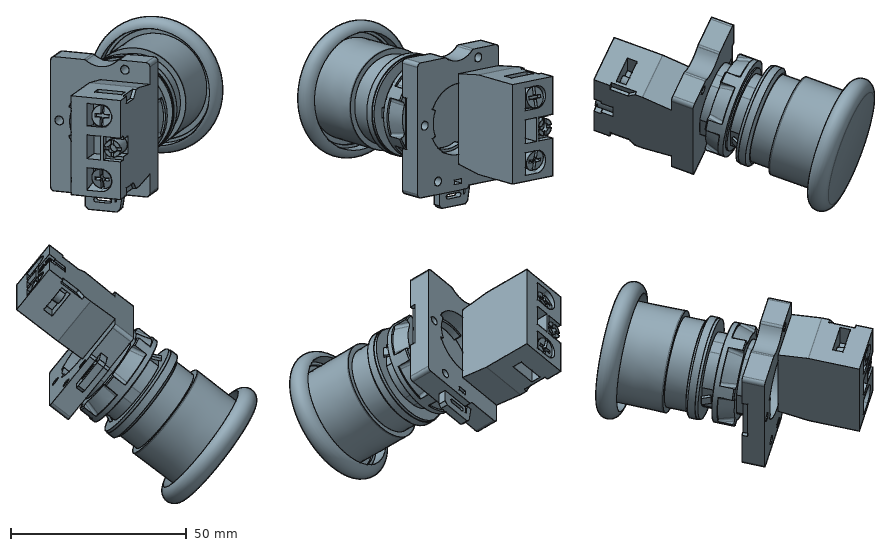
import cadquery as cq
import math


PLATE_FRONT = 23.9
PLATE_BACK = 30.6
NUT_FRONT = 33.5
NUT_FLANGE = 38.05
NUT_BACK = 39.6
WASHER_BACK = 40.05
COLLAR_FRONT = 43.65
COLLAR_LIP = 44.45
COLLAR_SHOULDER = 46.65
COLLAR_BACK = 47.5
HOUSING_FRONT = 53.9
HOUSING_LIP = 54.25
CAP_FRONT = 66.9
CAP_BACK = 73.1
DOME_TIP = 73.6

CAP_RADIUS = 40.0 / 2
CAP_FACE_RADIUS = 16.9
CAP_OPENING_RADIUS = 17.2
CAP_OPENING_DEPTH = 3.7
CAP_FLOOR_RADIUS = 16.35
CAP_FLOOR_DEPTH = 4.4
HOUSING_BACK_RADIUS = 29.5 / 2
HOUSING_FRONT_RADIUS = 14.9
NECK_RADIUS = 13.25
COLLAR_RADIUS = 14.9
COLLAR_LIP_RADIUS = 14.65
COLLAR_SHOULDER_RADIUS = 13.7

SHAFT_RADIUS = 10.9
SHAFT_SIDE_FLAT = 10.1
SHAFT_TOP_FLAT_WIDTH = 3.9
CLIP_WIDTH = 2.95
CLIP_ROOT = 0.15
CLIP_THICKNESS = 0.8
CLIP_LENGTH = 2.9
CLIP_LEAN = 26.0
CLIP_FRONT = 41.1
WASHER_RADIUS = 25.2 / 2
NUT_RADIUS = 14.6
NUT_LUGS = 6
NUT_LUG_WIDTH = 3.6
NUT_FLOOR_BACK_RADIUS = 14.0
NUT_FLOOR_FRONT_RADIUS = 12.65
NUT_CHAMFER = 0.4
NUT_LUG_FILLET = 0.95

PLATE_SIDE = 15.1
PLATE_TOP_LEFT = 18.7
PLATE_TOP_RIGHT = 19.6
PLATE_BOTTOM_LEFT = -21.0
PLATE_BOTTOM_RIGHT = -20.1
PLATE_STEP_LEFT = 3.4
PLATE_STEP_RIGHT = 4.1
PLATE_CORNER = 1.2
NOTCH_RADIUS = 7.15
NOTCH_BOTTOM = 17.1
NOTCH_CORNER = 1.1
PLATE_HOLE = 2.6
PLATE_HOLE_CENTRES = [(7.5, 16.85), (-12.45, 0), (-7.5, -17.15)]
WINDOW_WIDTH = 2.65
WINDOW_HEIGHT = 1.3
WINDOW_CENTRE_Z = -18.4
BORE_RADIUS = 10.45
BORE_LUG_RADIUS = 9.3
BORE_LUG_ANGLE = 24.4
BORE_RIB_RADIUS = 9.65
BORE_RIB_ANGLE = 27.0
BORE_RIB_HEIGHT = 2.2
SIDE_RECESS_HEIGHT = 15.0
SIDE_RECESS_WIDTH = 1.7
SIDE_RECESS_DEPTH = 1.1

TAB_FRONT = 25.9
TAB_BACK = 28.2
TAB_BOTTOM = -26.0
TAB_LEFT = -5.3
TAB_RIGHT_TOP = 6.1
TAB_RIGHT_BOTTOM = 5.3
TAB_CHAMFER = 0.95
TAB_SLOT_LENGTH = 5.4
TAB_SLOT_WIDTH = 1.3
TAB_SLOT_Z = -22.9
SLIT_LEFT = 3.75
SLIT_TOP_WIDTH = 0.6
SLIT_BOTTOM_WIDTH = 0.4
SLIT_BOTTOM = -23.0

BLOCK_LEFT = 0.1
BLOCK_HALF_HEIGHT = 29.2 / 2
BLOCK_TAPER_START = 15.0
BLOCK_BACK_HALF_HEIGHT = 13.25
SCREW_X = 9.1
SCREW_Z = 9.5
SCREW_TILT = 12.0
SCREW_HEAD = 6.2
SCREW_SHANK = 3.5
SCREW_FACE_DEPTH = 0.9
SCREW_LENGTH = 10.3
CROSS_SLOT_WIDTH = 0.9
CROSS_SLOT_LENGTH = 4.3
CROSS_SLOT_DEPTH = 1.5
CROSS_CENTRE = 2.3
TERMINAL_RADIUS = 3.25
TERMINAL_DEPTH = 5.4
POCKET_LEFT = 4.85
WIRE_RIGHT = 13.1
WIRE_FRONT = 6.1
WIRE_BACK = 9.1
WIRE_FLOOR = 7.35
CENTRE_POCKET_HEIGHT = 7.0
CENTRE_POCKET_RIGHT = 9.0
CENTRE_POCKET_DEPTH = 5.9
ADJUSTER_X = 12.45
ADJUSTER_POCKET_LEFT = 9.85
ADJUSTER_POCKET_DEPTH = 2.2
ADJUSTER_SEAT_RADIUS = 2.6
ADJUSTER_SEAT_DEPTH = 5.9
ADJUSTER_DIAMETER = 5.0
ADJUSTER_BORE = 2.5
ADJUSTER_FACE = 0.4
ADJUSTER_SLOT_DEPTH = 0.65
LABEL_FRONT = 5.0
LABEL_SLOPE_START = 10.6
LABEL_BACK = 12.7
LABEL_DEPTH_X = 1.0
LABEL_DEPTH_Z = 2.2


def plane_at(y):
    """Workplane across the button axis: local x is X, local y is Z."""
    return cq.Workplane("XZ", origin=(0, y, 0))


def box(x_range, y_range, z_range):
    """Box between the given limits."""
    sizes = [high - low for low, high in (x_range, y_range, z_range)]
    corner = (x_range[0], y_range[0], z_range[0])
    return cq.Workplane("XY", origin=corner).box(*sizes, centered=False)


def rod(radius, y_start, y_end, x=0, z=0):
    """Cylinder along Y."""
    return plane_at(y_start).center(x, z).circle(radius).extrude(y_start - y_end)


def polar(radius, degrees):
    """X and Z of a point at an angle from +X."""
    angle = math.radians(degrees)
    return radius * math.cos(angle), radius * math.sin(angle)


def sector(radius, middle, half_angle, y_start, y_end):
    """Pie slice around the button axis, between two positions along Y."""
    return (
        plane_at(y_start)
        .lineTo(*polar(radius, middle - half_angle))
        .threePointArc(polar(radius, middle), polar(radius, middle + half_angle))
        .close()
        .extrude(y_start - y_end)
    )


def make_head():
    """Mushroom cap, housing, neck and collar, turned about the button axis."""
    cap_middle = (CAP_FRONT + CAP_BACK) / 2
    cap_step = CAP_FRONT + CAP_OPENING_DEPTH
    cap_floor = CAP_FRONT + CAP_FLOOR_DEPTH
    dome_rise = DOME_TIP - CAP_BACK
    dome_radius = (CAP_FACE_RADIUS**2 + dome_rise**2) / (2 * dome_rise)
    dome_mid_radius = CAP_FACE_RADIUS / 2
    dome_mid = DOME_TIP - dome_radius + math.sqrt(dome_radius**2 - dome_mid_radius**2)
    profile = (
        cq.Workplane("XY")
        .moveTo(0, COLLAR_FRONT)
        .lineTo(COLLAR_LIP_RADIUS, COLLAR_FRONT)
        .lineTo(COLLAR_LIP_RADIUS, COLLAR_LIP)
        .lineTo(COLLAR_RADIUS, COLLAR_LIP)
        .lineTo(COLLAR_RADIUS, COLLAR_SHOULDER)
        .lineTo(COLLAR_SHOULDER_RADIUS, COLLAR_BACK)
        .lineTo(NECK_RADIUS, COLLAR_BACK)
        .lineTo(NECK_RADIUS, HOUSING_FRONT)
        .lineTo(HOUSING_FRONT_RADIUS, HOUSING_FRONT)
        .lineTo(HOUSING_FRONT_RADIUS, HOUSING_LIP)
        .lineTo(HOUSING_BACK_RADIUS, cap_floor)
        .lineTo(CAP_FLOOR_RADIUS, cap_floor)
        .lineTo(CAP_FLOOR_RADIUS, cap_step)
        .lineTo(CAP_OPENING_RADIUS, cap_step)
        .lineTo(CAP_OPENING_RADIUS, CAP_FRONT)
        .threePointArc((CAP_RADIUS, cap_middle), (CAP_FACE_RADIUS, CAP_BACK))
        .threePointArc((dome_mid_radius, dome_mid), (0, DOME_TIP))
        .close()
    )
    return profile.revolve(360, (0, 0, 0), (0, 1, 0))


def make_shaft():
    """Threaded shaft with two side flats and a narrow flat above and below."""
    top_flat = math.sqrt(SHAFT_RADIUS**2 - (SHAFT_TOP_FLAT_WIDTH / 2) ** 2)
    flats = box(
        (-SHAFT_SIDE_FLAT, SHAFT_SIDE_FLAT),
        (PLATE_BACK, COLLAR_FRONT),
        (-top_flat, top_flat),
    )
    return rod(SHAFT_RADIUS, PLATE_BACK, COLLAR_FRONT).intersect(flats)


def make_clip():
    """Sprung clip that leans out from the right-hand flat of the shaft to the collar."""
    foot = SHAFT_SIDE_FLAT - CLIP_ROOT
    bar = box(
        (foot, foot + CLIP_THICKNESS),
        (CLIP_FRONT, CLIP_FRONT + CLIP_LENGTH),
        (-CLIP_WIDTH / 2, CLIP_WIDTH / 2),
    )
    return bar.rotate((foot, CLIP_FRONT, 0), (foot, CLIP_FRONT, 1), -CLIP_LEAN)


def make_nut_pockets():
    """Pockets between the nut lugs: tapered floors, parallel lug sides and rounded floor corners."""
    outside = 2 * NUT_RADIUS
    floor = (
        cq.Workplane("XY")
        .moveTo(0, NUT_FRONT)
        .lineTo(NUT_FLOOR_FRONT_RADIUS, NUT_FRONT)
        .lineTo(NUT_FLOOR_BACK_RADIUS, NUT_FLANGE)
        .lineTo(0, NUT_FLANGE)
        .close()
        .revolve(360, (0, 0, 0), (0, 1, 0))
    )
    pockets = rod(outside, NUT_FRONT, NUT_FLANGE).cut(floor)
    half_width = NUT_LUG_WIDTH / 2
    lug_pair = box((-half_width, half_width), (NUT_FRONT, NUT_FLANGE), (-outside, outside))
    for pair in range(NUT_LUGS // 2):
        pockets = pockets.cut(lug_pair.rotate((0, 0, 0), (0, 1, 0), pair * 360 / NUT_LUGS))

    def is_floor_corner(edge):
        """Floor corners cross the middle of the pockets inside the nut's outer radius."""
        centre = edge.Center()
        crosses_middle = NUT_FRONT + NUT_CHAMFER < centre.y < NUT_FLANGE - NUT_CHAMFER
        return crosses_middle and math.hypot(centre.x, centre.z) < NUT_RADIUS

    corners = [edge for edge in pockets.edges().vals() if is_floor_corner(edge)]
    return pockets.newObject(corners).fillet(NUT_LUG_FILLET)


def make_nut():
    """Ring nut with gripping lugs below its flange, and a thin washer behind it."""
    nut = rod(NUT_RADIUS, NUT_FRONT, NUT_BACK).faces("<Y").chamfer(NUT_CHAMFER)
    washer = rod(WASHER_RADIUS, NUT_BACK, WASHER_BACK)
    return nut.cut(make_nut_pockets()).union(washer)


def make_plate():
    """Mounting plate with its notch, bore, holes and side recess."""
    thickness = PLATE_BACK - PLATE_FRONT
    plate = (
        plane_at(PLATE_FRONT)
        .moveTo(-PLATE_SIDE, PLATE_BOTTOM_LEFT)
        .lineTo(PLATE_STEP_LEFT, PLATE_BOTTOM_LEFT)
        .lineTo(PLATE_STEP_RIGHT, PLATE_BOTTOM_RIGHT)
        .lineTo(PLATE_SIDE, PLATE_BOTTOM_RIGHT)
        .lineTo(PLATE_SIDE, PLATE_TOP_RIGHT)
        .lineTo(0, PLATE_TOP_RIGHT)
        .lineTo(0, PLATE_TOP_LEFT)
        .lineTo(-PLATE_SIDE, PLATE_TOP_LEFT)
        .close()
        .extrude(-thickness)
    )
    plate = plate.edges("|Y and (<X or >X)").fillet(PLATE_CORNER)
    notch_centre = NOTCH_BOTTOM + NOTCH_RADIUS
    plate = plate.cut(rod(NOTCH_RADIUS, PLATE_FRONT, PLATE_BACK, z=notch_centre))
    notch_edges = cq.selectors.BoxSelector(
        (-NOTCH_RADIUS, PLATE_FRONT, PLATE_TOP_LEFT - PLATE_CORNER),
        (NOTCH_RADIUS, PLATE_BACK, PLATE_TOP_RIGHT + PLATE_CORNER),
    )
    plate = plate.edges("|Y").edges(notch_edges).fillet(NOTCH_CORNER)

    bore = rod(BORE_RADIUS, PLATE_FRONT, PLATE_BACK)
    lug = sector(2 * BORE_RADIUS, 180, BORE_LUG_ANGLE, PLATE_FRONT, PLATE_BACK)
    bore = bore.cut(lug.cut(rod(BORE_LUG_RADIUS, PLATE_FRONT, PLATE_BACK)))
    rib_front = PLATE_BACK - BORE_RIB_HEIGHT
    for middle in (90, -90):
        rib = sector(2 * BORE_RADIUS, middle, BORE_RIB_ANGLE, rib_front, PLATE_BACK)
        bore = bore.cut(rib.cut(rod(BORE_RIB_RADIUS, rib_front, PLATE_BACK)))
    plate = plate.cut(bore)

    holes = plane_at(PLATE_FRONT).pushPoints(PLATE_HOLE_CENTRES).circle(PLATE_HOLE / 2)
    plate = plate.cut(holes.extrude(-thickness))
    window = plane_at(PLATE_FRONT).center(0, WINDOW_CENTRE_Z).rect(WINDOW_WIDTH, WINDOW_HEIGHT)
    plate = plate.cut(window.extrude(-thickness))
    side_recess = box(
        (-PLATE_SIDE, -PLATE_SIDE + SIDE_RECESS_DEPTH),
        (PLATE_BACK - SIDE_RECESS_WIDTH, PLATE_BACK),
        (-SIDE_RECESS_HEIGHT / 2, SIDE_RECESS_HEIGHT / 2),
    )
    return plate.cut(side_recess)


def make_tab():
    """Locking tab with a rounded slot and a narrow slit beside its slanted edge."""
    thickness = TAB_BACK - TAB_FRONT
    tab = (
        plane_at(TAB_FRONT)
        .moveTo(TAB_LEFT, PLATE_BOTTOM_RIGHT)
        .lineTo(TAB_LEFT, TAB_BOTTOM + TAB_CHAMFER)
        .lineTo(TAB_LEFT + TAB_CHAMFER, TAB_BOTTOM)
        .lineTo(TAB_RIGHT_BOTTOM - TAB_CHAMFER, TAB_BOTTOM)
        .lineTo(TAB_RIGHT_BOTTOM, TAB_BOTTOM + TAB_CHAMFER)
        .lineTo(TAB_RIGHT_TOP, PLATE_BOTTOM_RIGHT)
        .close()
        .extrude(-thickness)
    )
    slot = plane_at(TAB_FRONT).center(0, TAB_SLOT_Z).slot2D(TAB_SLOT_LENGTH, TAB_SLOT_WIDTH)
    slit = (
        plane_at(TAB_FRONT)
        .moveTo(SLIT_LEFT, PLATE_BOTTOM_RIGHT)
        .lineTo(SLIT_LEFT, SLIT_BOTTOM)
        .lineTo(SLIT_LEFT + SLIT_BOTTOM_WIDTH, SLIT_BOTTOM)
        .lineTo(SLIT_LEFT + SLIT_TOP_WIDTH, PLATE_BOTTOM_RIGHT)
        .close()
    )
    return tab.cut(slot.extrude(-thickness)).cut(slit.extrude(-thickness))


def tilt_terminal(shape):
    """Lean a shape on the upper terminal axis so that it dips with depth."""
    return shape.rotate((0, 0, SCREW_Z), (1, 0, SCREW_Z), -SCREW_TILT)


def make_terminal_pocket():
    """Leaning D-shaped screw pocket with a flat floor, square on the left and round on the right."""
    lead = -TERMINAL_RADIUS
    reach = TERMINAL_DEPTH + TERMINAL_RADIUS
    z_range = (SCREW_Z - TERMINAL_RADIUS, SCREW_Z + TERMINAL_RADIUS)
    square = box((POCKET_LEFT, SCREW_X), (lead, reach), z_range)
    pocket = square.union(rod(TERMINAL_RADIUS, lead, reach, SCREW_X, SCREW_Z))
    above_floor = box((0, PLATE_SIDE), (lead, TERMINAL_DEPTH), (0, BLOCK_HALF_HEIGHT))
    return tilt_terminal(pocket).intersect(above_floor)


def make_terminal_screw():
    """Terminal screw with a cross recess; one slot runs right across the head."""
    head = rod(SCREW_HEAD / 2, SCREW_FACE_DEPTH, TERMINAL_DEPTH, SCREW_X, SCREW_Z)
    face = plane_at(SCREW_FACE_DEPTH).center(SCREW_X, SCREW_Z)
    recess = face.polygon(4, CROSS_CENTRE).extrude(-CROSS_SLOT_DEPTH)
    for width, height in ((CROSS_SLOT_WIDTH, SCREW_HEAD), (CROSS_SLOT_LENGTH, CROSS_SLOT_WIDTH)):
        recess = recess.union(face.rect(width, height).extrude(-CROSS_SLOT_DEPTH))
    shank = rod(SCREW_SHANK / 2, TERMINAL_DEPTH, SCREW_LENGTH, SCREW_X, SCREW_Z)
    return tilt_terminal(head.cut(recess).union(shank))


def make_wire_opening():
    """Opening in the top of the block, down to the axis of the screw shank."""
    return box((POCKET_LEFT, WIRE_RIGHT), (WIRE_FRONT, WIRE_BACK), (WIRE_FLOOR, BLOCK_HALF_HEIGHT))


def make_label_notch():
    """Notch in the upper right edge of the block, with a sloping back end."""
    floor = BLOCK_HALF_HEIGHT - LABEL_DEPTH_Z
    return (
        cq.Workplane("YZ", origin=(PLATE_SIDE - LABEL_DEPTH_X, 0, 0))
        .moveTo(LABEL_FRONT, BLOCK_HALF_HEIGHT)
        .lineTo(LABEL_FRONT, floor)
        .lineTo(LABEL_SLOPE_START, floor)
        .lineTo(LABEL_BACK, BLOCK_HALF_HEIGHT)
        .close()
        .extrude(LABEL_DEPTH_X)
    )


def make_adjuster():
    """Castellated adjusting screw between the two terminals."""
    radius = ADJUSTER_DIAMETER / 2
    adjuster = rod(radius, ADJUSTER_FACE, ADJUSTER_SEAT_DEPTH, ADJUSTER_X)
    adjuster = adjuster.cut(rod(ADJUSTER_BORE / 2, ADJUSTER_FACE, ADJUSTER_POCKET_DEPTH, ADJUSTER_X))
    for width, height in ((CROSS_SLOT_WIDTH, ADJUSTER_DIAMETER), (ADJUSTER_DIAMETER, CROSS_SLOT_WIDTH)):
        slot = plane_at(ADJUSTER_FACE).center(ADJUSTER_X, 0).rect(width, height)
        adjuster = adjuster.cut(slot.extrude(-ADJUSTER_SLOT_DEPTH))
    return adjuster


def make_block():
    """Contact block with two terminals and the pockets between them."""
    block = (
        cq.Workplane("YZ", origin=(BLOCK_LEFT, 0, 0))
        .moveTo(0, -BLOCK_HALF_HEIGHT)
        .lineTo(BLOCK_TAPER_START, -BLOCK_HALF_HEIGHT)
        .lineTo(PLATE_FRONT, -BLOCK_BACK_HALF_HEIGHT)
        .lineTo(PLATE_FRONT, BLOCK_BACK_HALF_HEIGHT)
        .lineTo(BLOCK_TAPER_START, BLOCK_HALF_HEIGHT)
        .lineTo(0, BLOCK_HALF_HEIGHT)
        .close()
        .extrude(PLATE_SIDE - BLOCK_LEFT)
    )
    pocket_z = (-CENTRE_POCKET_HEIGHT / 2, CENTRE_POCKET_HEIGHT / 2)
    block = block.cut(box((POCKET_LEFT, CENTRE_POCKET_RIGHT), (0, CENTRE_POCKET_DEPTH), pocket_z))
    block = block.cut(box((ADJUSTER_POCKET_LEFT, PLATE_SIDE), (0, ADJUSTER_POCKET_DEPTH), pocket_z))
    seat = rod(ADJUSTER_SEAT_RADIUS, 0, ADJUSTER_SEAT_DEPTH, ADJUSTER_X)
    seat_mouth = box(
        (ADJUSTER_X, PLATE_SIDE),
        (0, ADJUSTER_SEAT_DEPTH),
        (-ADJUSTER_SEAT_RADIUS, ADJUSTER_SEAT_RADIUS),
    )
    block = block.cut(seat).cut(seat_mouth).union(make_adjuster())

    upper_cuts = make_terminal_pocket().union(make_wire_opening()).union(make_label_notch())
    upper_screw = make_terminal_screw()
    block = block.cut(upper_cuts).cut(upper_cuts.mirror("XY"))
    return block.union(upper_screw).union(upper_screw.mirror("XY"))


clip = make_clip()
result = (
    make_head()
    .union(make_shaft())
    .union(clip)
    .union(clip.mirror("YZ"))
    .union(make_nut())
    .union(make_plate())
    .union(make_tab())
    .union(make_block())
)